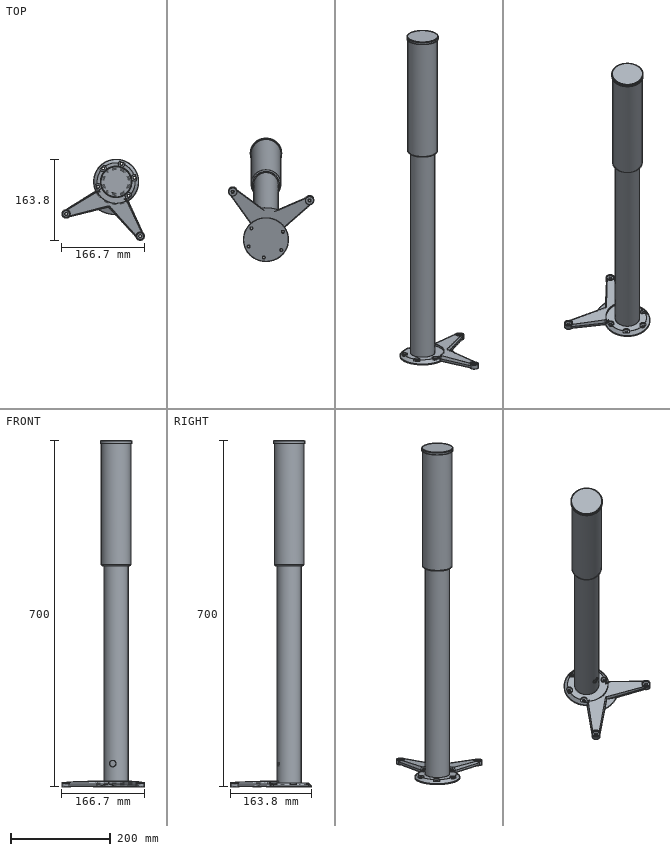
import cadquery as cq
import math

total_height = 700.0
tube_diameter = 50.0
sleeve_diameter = 60.0
sleeve_bottom = 446.5
sleeve_chamfer = 3.0
cap_diameter = 64.0
cap_height = 5.5
cap_chamfer = 1.5
button_hole_diameter = 13.0
button_hole_height = 47.5
button_hole_depth = 2.0

flange_radius = 45.5
flange_top_radius = 38.5
flange_rim = 2.0
flange_height = 8.5
screw_circle_radius = 38.0
screw_spacing_angle = 61.0
screw_count = 5
screw_hole_diameter = 5.5
counterbore_diameter = 13.0
counterbore_depth = 3.0

base_turn = -16.7
leg_angle = 40.6
foot_distance = 120.05
foot_radius = 8.5
foot_height = 9.0
foot_recess_depth = 1.5
leg_bottom = 1.5
leg_edge_height = 6.0
leg_root_height = 12.5
leg_tip_height = 10.0
leg_draft = 25.0
leg_tip_half_width = 8.0
leg_root_radius = 43.5
leg_shoulder_radius = 46.0
leg_shoulder_angle = 49.0
crotch_distance = 53.0
web_bottom_radius = 66.5
web_height = 6.0
web_half_angle = 18.0


def polar(radius, angle):
    """Point at a radius, with the angle measured from -Y toward +X."""
    a = math.radians(angle)
    return radius * math.sin(a), -radius * math.cos(a)


def cylinder(diameter, bottom, top):
    return cq.Workplane("XY").workplane(offset=bottom).circle(diameter / 2).extrude(top - bottom)


def stepped_hole(point, top, recess_depth):
    """Cutter for a through hole with a wider recess at the top."""
    bore = cylinder(screw_hole_diameter, 0, top)
    recess = cylinder(counterbore_diameter, top - recess_depth, top)
    return bore.union(recess).translate((*point, 0))


def make_column():
    tube = cylinder(tube_diameter, 0, total_height)
    sleeve = cylinder(sleeve_diameter, sleeve_bottom, total_height).faces("<Z").chamfer(sleeve_chamfer)
    cap = cylinder(cap_diameter, total_height - cap_height, total_height).faces(">Z").chamfer(cap_chamfer)
    button_hole = (
        cq.Workplane("XZ", origin=(0, -tube_diameter / 2 + button_hole_depth, button_hole_height))
        .circle(button_hole_diameter / 2)
        .extrude(tube_diameter)
    )
    return tube.cut(button_hole).union(sleeve).union(cap)


def make_flange():
    profile = [
        (0, 0),
        (flange_radius, 0),
        (flange_radius, flange_rim),
        (flange_top_radius, flange_height),
        (0, flange_height),
    ]
    return cq.Workplane("XZ").polyline(profile).close().revolve(360, (0, 0), (0, 1))


def make_screw_holes():
    """Cutters for the flange screws, centred on the side facing away from the legs."""
    cutters = cq.Workplane("XY")
    for i in range(screw_count):
        angle = 180 + (i - (screw_count - 1) / 2) * screw_spacing_angle
        point = polar(screw_circle_radius, angle)
        cutters = cutters.add(stepped_hole(point, flange_height, counterbore_depth))
    return cutters.combine()


def make_legs():
    """Pair of legs with bevelled upper sides and tops sloping down to round feet."""
    foot = polar(foot_distance, leg_angle)
    side_x, side_y = polar(leg_tip_half_width, leg_angle + 90)
    shoulder = polar(leg_shoulder_radius, leg_shoulder_angle)
    one_side = [
        shoulder,
        (foot[0] + side_x, foot[1] + side_y),
        (foot[0] - side_x, foot[1] - side_y),
    ]
    other_side = [(-x, y) for x, y in reversed(one_side)]
    hub_point = (0, -leg_root_radius / 2)
    outline = [hub_point, *one_side, (0, -crotch_distance), *other_side]
    lower_body = (
        cq.Workplane("XY").workplane(offset=leg_bottom)
        .polyline(outline).close()
        .extrude(leg_edge_height - leg_bottom)
    )
    upper_body = (
        cq.Workplane("XY").workplane(offset=leg_edge_height)
        .polyline(outline).close()
        .extrude(leg_root_height - leg_edge_height, taper=leg_draft)
    )
    end_y = foot[1] - foot_radius
    slope = (
        cq.Workplane("YZ")
        .polyline([
            (0, 0),
            (0, leg_root_height),
            (shoulder[1], leg_root_height),
            (end_y, leg_tip_height),
            (end_y, 0),
        ])
        .close()
        .extrude(foot_distance, both=True)
    )
    hub_clearance = cylinder(2 * leg_root_radius, flange_height, leg_root_height)
    body = lower_body.union(upper_body).intersect(slope).cut(hub_clearance)
    for x in (-foot[0], foot[0]):
        center = (x, foot[1])
        foot_space = cylinder(2 * foot_radius, 0, leg_root_height).translate((*center, 0))
        foot_pad = cylinder(2 * foot_radius, 0, foot_height).translate((*center, 0))
        foot_hole = stepped_hole(center, foot_height, foot_recess_depth)
        body = body.cut(foot_space).union(foot_pad).cut(foot_hole)
    return body


def make_web():
    """Sloping web filling the corner between the legs."""
    cone = (
        cq.Workplane("XZ")
        .polyline([
            (flange_top_radius, leg_bottom),
            (web_bottom_radius, leg_bottom),
            (crotch_distance, web_height),
            (flange_top_radius, web_height),
        ])
        .close()
        .revolve(360, (0, 0), (0, 1))
    )
    sector = (
        cq.Workplane("XY")
        .polyline([(0, 0), polar(foot_distance, -web_half_angle), polar(foot_distance, web_half_angle)])
        .close()
        .extrude(web_height)
    )
    return cone.intersect(sector)


base = make_flange().union(make_legs()).union(make_web())
base = base.cut(make_screw_holes())
result = base.union(make_column()).rotate((0, 0, 0), (0, 0, 1), base_turn)